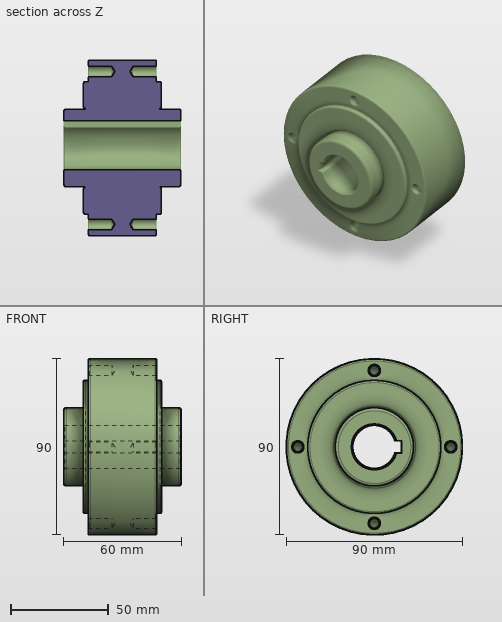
import cadquery as cq
import math

hub_length = 60.0
shoulder_length = 40.0
rim_length = 35.0

rim_diameter = 90.0
shoulder_diameter = 67.95
hub_diameter = 40.0
bore_diameter = 22.0

edge_radius = 1.0
hub_edge_radius = 1.4
bore_chamfer = 0.7

keyway_width = 6.0
keyway_reach = 13.8

hole_count = 4
hole_circle_diameter = 78.0
hole_diameter = 5.0
hole_depth = 12.0
hole_chamfer = 0.5
drill_point_angle = 118.0


def rounded_disc(diameter, length, radius):
    """Solid cylinder along X, centred on the origin, with both rims rounded."""
    cylinder = cq.Workplane("YZ").workplane(offset=-length / 2).circle(diameter / 2).extrude(length)
    return cylinder.edges("%CIRCLE").fillet(radius)


def relief_ring():
    """Ring removed around the hub so the -X shoulder's inner edge is rounded over."""
    face = -shoulder_length / 2
    root = face + edge_radius
    hub_radius = hub_diameter / 2
    outer_radius = hub_radius + edge_radius
    arc_offset = edge_radius * math.sqrt(0.5)
    return (
        cq.Workplane("XY")
        .moveTo(face, hub_radius)
        .lineTo(face, outer_radius)
        .threePointArc((root - arc_offset, outer_radius - arc_offset), (root, hub_radius))
        .close()
        .revolve(360, (0, 0, 0), (1, 0, 0))
    )


def bore_cutter():
    """Through bore widened by a chamfer at each end."""
    end = hub_length / 2
    radius = bore_diameter / 2
    mouth_radius = radius + bore_chamfer
    return (
        cq.Workplane("XY")
        .moveTo(-end, 0)
        .lineTo(-end, mouth_radius)
        .lineTo(-end + bore_chamfer, radius)
        .lineTo(end - bore_chamfer, radius)
        .lineTo(end, mouth_radius)
        .lineTo(end, 0)
        .close()
        .revolve(360, (0, 0, 0), (1, 0, 0))
    )


def keyway_cutter():
    """Rectangular slot from the axis to the keyway floor, over the full length."""
    return cq.Workplane("XY").box(
        hub_length, keyway_reach, keyway_width, centered=(True, False, True)
    )


def rim_hole():
    """Chamfered blind hole with a drill point, entering the -X rim face at +Z."""
    face = -rim_length / 2
    radius = hole_diameter / 2
    axis_height = hole_circle_diameter / 2
    point_length = radius / math.tan(math.radians(drill_point_angle / 2))
    return (
        cq.Workplane("XZ")
        .moveTo(face, axis_height)
        .lineTo(face, axis_height + radius + hole_chamfer)
        .lineTo(face + hole_chamfer, axis_height + radius)
        .lineTo(face + hole_depth, axis_height + radius)
        .lineTo(face + hole_depth + point_length, axis_height)
        .close()
        .revolve(360, (0, axis_height, 0), (1, axis_height, 0))
    )


rim = rounded_disc(rim_diameter, rim_length, edge_radius)
shoulder = rounded_disc(shoulder_diameter, shoulder_length, edge_radius)
hub = rounded_disc(hub_diameter, hub_length, hub_edge_radius)
result = rim.union(shoulder).union(hub)

relief = relief_ring()
result = result.cut(relief).cut(relief.mirror("YZ"))

result = result.cut(bore_cutter()).cut(keyway_cutter())

for index in range(hole_count):
    hole = rim_hole().rotate((0, 0, 0), (1, 0, 0), index * 360 / hole_count)
    result = result.cut(hole).cut(hole.mirror("YZ"))